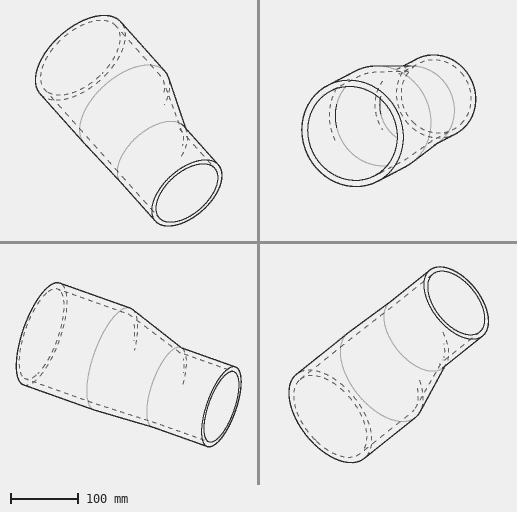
import cadquery as cq

total_length = 310.0
large_length = 118.0
taper_length = 100.0
small_length = total_length - large_length - taper_length

large_outer_diameter = 160.0
large_inner_diameter = 141.0
small_outer_diameter = 125.0
small_inner_diameter = 110.0

small_end_y = -(large_outer_diameter - small_outer_diameter) / 2


def reducer_body(large_diameter, small_diameter):
    """Solid large cylinder, eccentric taper and small cylinder in a row."""
    large_end = cq.Workplane("YZ").circle(large_diameter / 2).extrude(large_length)
    taper = (
        cq.Workplane("YZ", origin=(large_length, 0, 0))
        .circle(large_diameter / 2)
        .workplane(offset=taper_length)
        .center(small_end_y, 0)
        .circle(small_diameter / 2)
        .loft(ruled=True)
    )
    small_end = (
        cq.Workplane("YZ", origin=(large_length + taper_length, small_end_y, 0))
        .circle(small_diameter / 2)
        .extrude(small_length)
    )
    return large_end.union(taper).union(small_end)


outer_body = reducer_body(large_outer_diameter, small_outer_diameter)
bore = reducer_body(large_inner_diameter, small_inner_diameter)
result = outer_body.cut(bore)